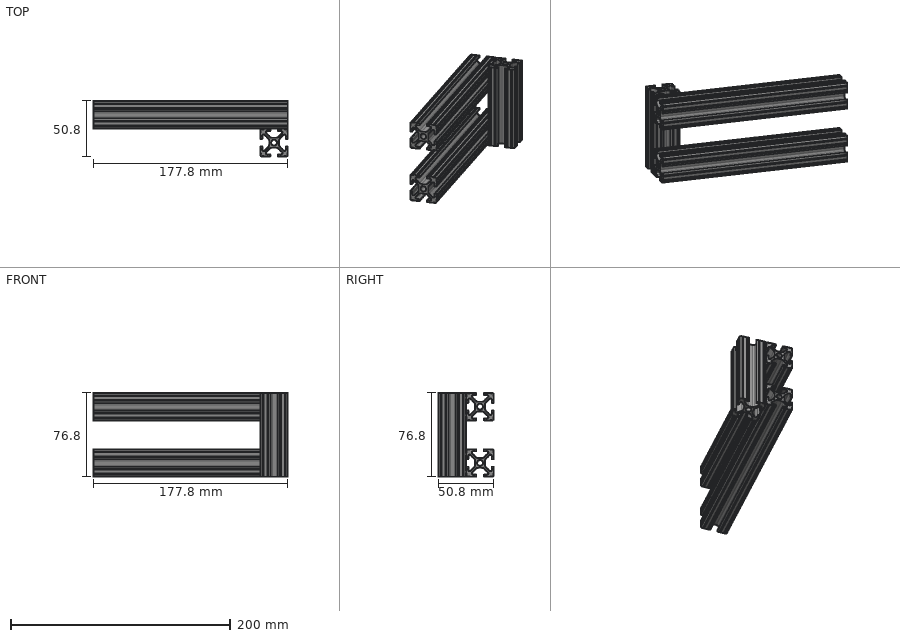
import cadquery as cq
import math


profile_size = 25.4
rail_length = 177.8
post_length = 76.8

half_size = profile_size / 2
slot_opening = 6.5
slot_corner_radius = 1.0
lip_thickness = 2.2
lip_tip_radius = lip_thickness / 2
rib_thickness = 2.2
core_width = 9.2
core_fillet_radius = 2.8
core_hole_diameter = 5.2

inner_groove_offset = 5.8
outer_groove_offset = 10.1
groove_radius = 0.53

corner_radius = half_size - outer_groove_offset - groove_radius


def slot_cutter(length):
    """T-slot void of the +Y face, extruded along Z."""
    half_opening = slot_opening / 2
    lip_root = half_opening + lip_tip_radius
    lip_middle = half_size - lip_tip_radius
    lip_underside = half_size - lip_thickness
    core_face = core_width / 2
    rib_shift = rib_thickness / math.sqrt(2)
    slot_floor_half = core_face - rib_shift
    rib_top = lip_underside - rib_shift
    slot = (
        cq.Workplane("XY")
        .moveTo(-lip_root, half_size)
        .threePointArc((-half_opening, lip_middle), (-lip_root, lip_underside))
        .lineTo(-rib_top, lip_underside)
        .lineTo(-slot_floor_half, core_face)
        .lineTo(slot_floor_half, core_face)
        .lineTo(rib_top, lip_underside)
        .lineTo(lip_root, lip_underside)
        .threePointArc((half_opening, lip_middle), (lip_root, half_size))
        .close()
        .extrude(length)
    )
    slot = slot.faces("<Y").edges("|Z").fillet(core_fillet_radius)
    return slot.edges("|Z and (<X or >X)").fillet(slot_corner_radius)


def groove_cutters(length):
    """Four round grooves of the +Y face, extruded along Z."""
    centres = [
        (side * offset, half_size)
        for side in (-1, 1)
        for offset in (inner_groove_offset, outer_groove_offset)
    ]
    return cq.Workplane("XY").pushPoints(centres).circle(groove_radius).extrude(length)


def extrusion(length):
    """One T-slot bar, centred on the Z axis and standing on Z = 0."""
    bar = cq.Workplane("XY").rect(profile_size, profile_size).extrude(length)
    bar = bar.edges("|Z").fillet(corner_radius)
    slot = slot_cutter(length)
    grooves = groove_cutters(length)
    for angle in (0, 90, 180, 270):
        bar = bar.cut(slot.rotate((0, 0, 0), (0, 0, 1), angle))
        bar = bar.cut(grooves.rotate((0, 0, 0), (0, 0, 1), angle))
    core_hole = cq.Workplane("XY").circle(core_hole_diameter / 2).extrude(length)
    return bar.cut(core_hole)


post = extrusion(post_length).translate((rail_length - half_size, half_size, 0))

rails = []
for rail_height in (half_size, post_length - half_size):
    rail = extrusion(rail_length).rotate((0, 0, 0), (0, 1, 0), 90)
    rails.append(rail.translate((0, profile_size + half_size, rail_height)))

result = cq.Compound.makeCompound([post.val(), *[rail.val() for rail in rails]])